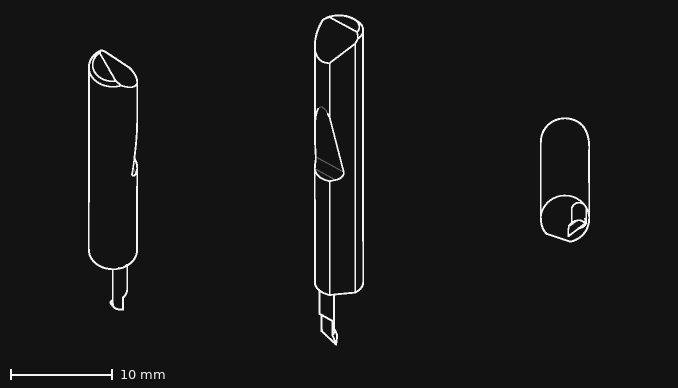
import cadquery as cq

total_length = 38.1
shank_diameter = 4.75
shank_bottom = 7.62
top_chamfer = 0.4

flat_distance = 2.02
flat_direction = 143.0

bevel_top_y = -0.57

notch_corner_y = 1.0
notch_corner_z = 21.4
notch_tilt = 9.5
notch_corner_radius = 0.75

neck_radius = 0.72
rake_end_z = 2.6
tip_x = 0.4
tip_nose_height = 0.1
tip_shoulder_x = 0.95
tip_top_z = 1.0
tip_heel_z = 0.7
tip_relief_height = 0.23
tip_back_x = 0.9
tip_back_shoulder_x = 1.22

shank_radius = shank_diameter / 2
cut_size = 3 * shank_diameter
neck_center_x = shank_radius - neck_radius
end_slope = tip_heel_z / (shank_radius - tip_x)


def make_shank():
    """Round bar with a chamfered top rim."""
    bar = cq.Workplane("XY").workplane(offset=shank_bottom).circle(shank_radius)
    bar = bar.extrude(total_length - shank_bottom)
    return bar.faces(">Z").chamfer(top_chamfer)


def side_flat():
    """Block outside the full-length flat."""
    block = cq.Workplane("XY").box(cut_size, cut_size, total_length, centered=(False, True, False))
    block = block.translate((flat_distance, 0, 0))
    return block.rotate((0, 0, 0), (0, 0, 1), flat_direction)


def end_bevel():
    """Triangular prism above the 45 degree end bevel."""
    profile = [
        (bevel_top_y, total_length),
        (bevel_top_y + cut_size, total_length),
        (bevel_top_y + cut_size, total_length - cut_size),
    ]
    return cq.Workplane("YZ").polyline(profile).close().extrude(shank_diameter, both=True)


def clamping_notch():
    """Tilted square corner with a rounded root, open towards +Y."""
    block = cq.Workplane("XY").box(cut_size, cut_size, cut_size, centered=(True, False, False))
    block = block.edges("<Y and <Z").fillet(notch_corner_radius)
    block = block.rotate((0, 0, 0), (1, 0, 0), -notch_tilt)
    return block.translate((0, notch_corner_y, notch_corner_z))


def end_height(x, relief):
    """Height of the sloping cutting end at a given X, raised by the clearance relief."""
    return end_slope * (x - tip_x) + relief


def loft_towards_minus_y(rake_profile, back_profile):
    """Ruled solid from an XZ profile on the rake face to one at the back of the neck."""
    loft = cq.Workplane("XZ").polyline(rake_profile).close()
    loft = loft.workplane(offset=neck_radius).polyline(back_profile).close()
    return loft.loft(ruled=True)


def make_neck():
    """Round neck, halved below the rake face and cut off along the sloping end."""
    neck = cq.Workplane("XY").center(neck_center_x, 0).circle(neck_radius).extrude(shank_bottom)
    rake_profile = [
        (0, 0),
        (0, rake_end_z),
        (cut_size, rake_end_z + cut_size),
        (cut_size, 0),
    ]
    rake_cut = cq.Workplane("YZ").polyline(rake_profile).close().extrude(cut_size, both=True)

    def below_end(relief):
        return [
            (tip_x, end_height(tip_x, relief)),
            (shank_diameter, end_height(shank_diameter, relief)),
            (shank_diameter, -shank_diameter),
            (tip_x, -shank_diameter),
        ]

    end_cut = loft_towards_minus_y(below_end(0), below_end(tip_relief_height))
    return neck.cut(rake_cut).cut(end_cut)


def make_tip():
    """Pointed cutting edge, tapering away from the rake face for clearance."""

    def section(point_x, shoulder_x, relief):
        point_z = end_height(point_x, relief)
        return [
            (point_x, point_z),
            (point_x, point_z + tip_nose_height),
            (shoulder_x, tip_top_z),
            (neck_center_x, tip_top_z),
            (neck_center_x, end_height(neck_center_x, relief)),
        ]

    rake_section = section(tip_x, tip_shoulder_x, 0)
    back_section = section(tip_back_x, tip_back_shoulder_x, tip_relief_height)
    return loft_towards_minus_y(rake_section, back_section)


shank = make_shank().cut(side_flat()).cut(end_bevel()).cut(clamping_notch())
result = shank.union(make_neck()).union(make_tip())